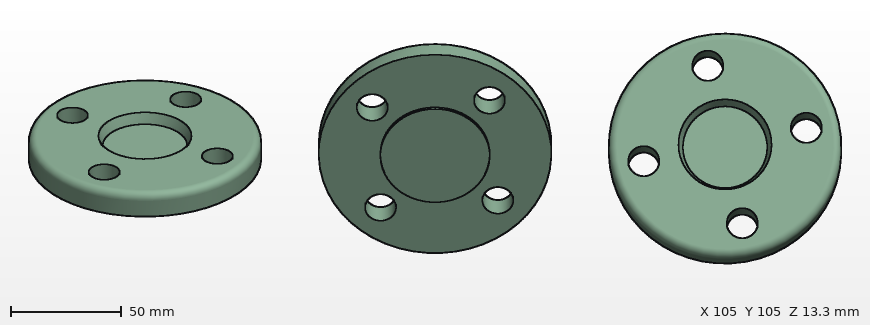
import cadquery as cq

disc_diameter = 105.0
total_height = 13.3
boss_height = 1.5
disc_thickness = total_height - boss_height
rim_fillet = 3.6

boss_diameter = 49.4

recess_top_diameter = 42.0
recess_floor_diameter = 38.0
recess_depth = 5.0

hole_diameter = 14.0
hole_count = 4
bolt_circle_diameter = 75.0


def make_disc():
    disc = cq.Workplane("XY").circle(disc_diameter / 2).extrude(disc_thickness)
    return disc.faces(">Z").edges().fillet(rim_fillet)


def make_boss():
    return cq.Workplane("XY").circle(boss_diameter / 2).extrude(-boss_height)


def make_recess():
    """Conical cutter that narrows towards the flat recess floor."""
    return (
        cq.Workplane("XY", origin=(0, 0, disc_thickness))
        .circle(recess_top_diameter / 2)
        .workplane(offset=-recess_depth)
        .circle(recess_floor_diameter / 2)
        .loft(ruled=True)
    )


def make_bolt_holes():
    return (
        cq.Workplane("XY")
        .polarArray(bolt_circle_diameter / 2, 0, 360, hole_count)
        .circle(hole_diameter / 2)
        .extrude(disc_thickness)
    )


result = make_disc().union(make_boss()).cut(make_recess()).cut(make_bolt_holes())